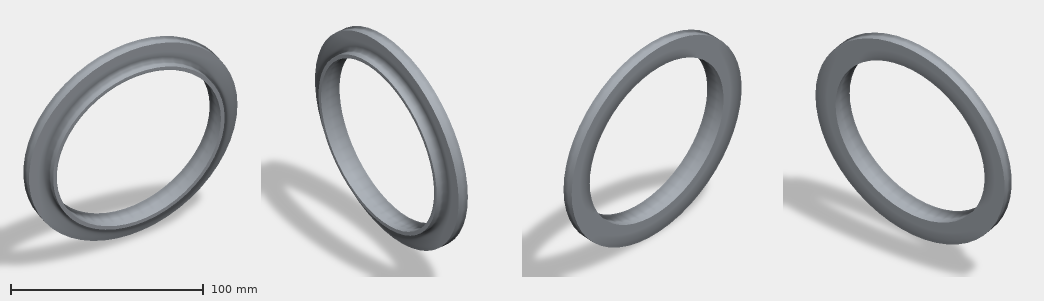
import cadquery as cq

flange_diameter = 124.0
hub_diameter = 102.0
bore_diameter = 97.6
total_length = 12.0
flange_thickness = 6.0
root_fillet_radius = 2.0

flange_radius = flange_diameter / 2
hub_radius = hub_diameter / 2
bore_radius = bore_diameter / 2


def flanged_ring():
    """Revolve the half section, drawn with X along the axis and Y as the radius."""
    fillet_end_x = flange_thickness + root_fillet_radius
    fillet_start_radius = hub_radius + root_fillet_radius
    section = (
        cq.Workplane("XY")
        .moveTo(0, bore_radius)
        .lineTo(0, flange_radius)
        .lineTo(flange_thickness, flange_radius)
        .lineTo(flange_thickness, fillet_start_radius)
        .radiusArc((fillet_end_x, hub_radius), -root_fillet_radius)
        .lineTo(total_length, hub_radius)
        .lineTo(total_length, bore_radius)
        .close()
    )
    return section.revolve(360, (0, 0, 0), (1, 0, 0))


result = flanged_ring()